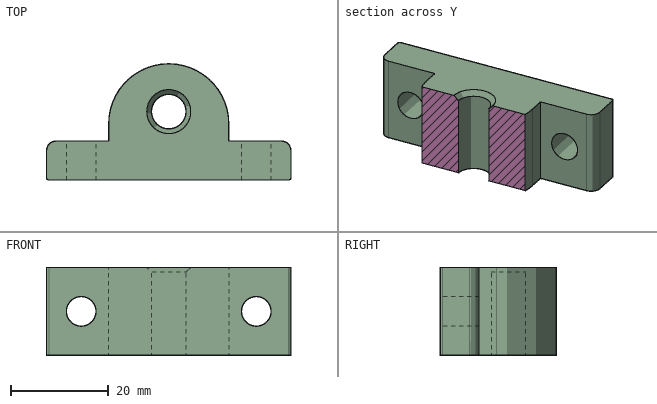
import cadquery as cq

plate_length = 50.0
plate_thickness = 8.0
part_height = 18.0
back_corner_radius = 2.0
front_corner_radius = 0.5

total_depth = 23.8
lug_radius = 12.3
lug_center_y = total_depth - lug_radius
lug_root_y = plate_thickness / 2

bore_center_y = 14.0
bore_diameter = 7.0
countersink_diameter = 9.0
countersink_angle = 90.0

mounting_hole_diameter = 6.0
mounting_hole_spacing = 35.8


def make_plate():
    """Plate with its mounting face on Y = 0 and rounded vertical edges."""
    plate = cq.Workplane("XY").box(
        plate_length, plate_thickness, part_height, centered=(True, False, False)
    )
    plate = plate.edges("|Z and >Y").fillet(back_corner_radius)
    return plate.edges("|Z and <Y").fillet(front_corner_radius)


def make_lug():
    """Straight-sided lug with a half-round end, rooted inside the plate."""
    return (
        cq.Workplane("XY")
        .moveTo(-lug_radius, lug_root_y)
        .lineTo(-lug_radius, lug_center_y)
        .threePointArc((0, total_depth), (lug_radius, lug_center_y))
        .lineTo(lug_radius, lug_root_y)
        .close()
        .extrude(part_height)
    )


def cut_bore(body):
    """Countersunk bore running through the full height of the lug."""
    return (
        body.faces(">Z")
        .workplane(origin=(0, bore_center_y, part_height))
        .cskHole(bore_diameter, countersink_diameter, countersink_angle)
    )


def cut_mounting_holes(body):
    """Two plain holes along Y, halfway up the plate."""
    half_spacing = mounting_hole_spacing / 2
    holes = (
        cq.Workplane("XZ")
        .pushPoints([(side * half_spacing, part_height / 2) for side in (-1, 1)])
        .circle(mounting_hole_diameter / 2)
        .extrude(-plate_thickness)
    )
    return body.cut(holes)


body = make_plate().union(make_lug())
body = cut_bore(body)
result = cut_mounting_holes(body)